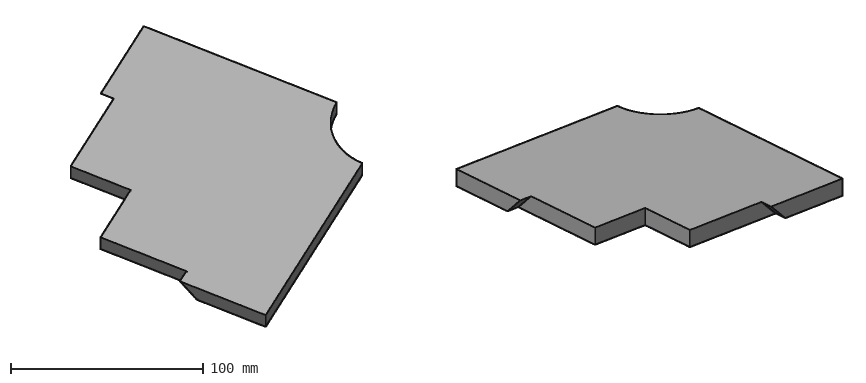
import cadquery as cq

side = 142.5
thickness = 10.0
corner_radius = 30.0
tab_length = 50.0
tab_step = 7.5
notch = 42.5
bevel_run = thickness

tab_start = side - tab_length

tab_profile = [
    (tab_start + bevel_run, 0),
    (side, 0),
    (side, thickness),
    (tab_start, thickness),
]


def make_body():
    """Plate without the tabs: notched at one corner, rounded out at the opposite one."""
    square_side = side - tab_step
    body = cq.Workplane("XY").box(square_side, square_side, thickness, centered=False)
    body = body.translate((tab_step, tab_step, 0))
    corner_notch = cq.Workplane("XY").box(notch, notch, thickness, centered=False)
    corner_cutout = cq.Workplane("XY").center(side, side).circle(corner_radius).extrude(thickness)
    return body.cut(corner_notch).cut(corner_cutout)


def make_bottom_tab():
    """Tab on the -Y edge."""
    return cq.Workplane("XZ").polyline(tab_profile).close().extrude(-tab_step)


def make_left_tab():
    """Tab on the -X edge: the mirror of the bottom tab across the plane X = Y."""
    return cq.Workplane("YZ").polyline(tab_profile).close().extrude(tab_step)


result = make_body().union(make_bottom_tab()).union(make_left_tab())